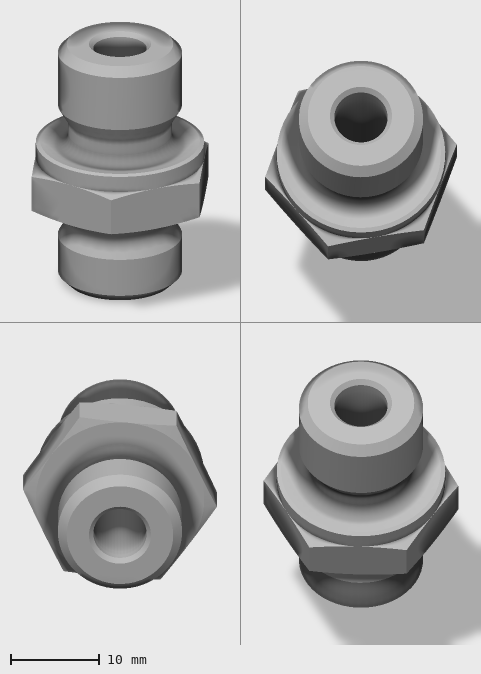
import cadquery as cq
import math

length = 29.0
thread_radius = 14.0 / 2
neck_radius = 11.7 / 2
thread_chamfer = 1.0
runout_angle = math.radians(30)
lower_thread_top = 5.45
upper_thread_bottom = 21.55
lower_neck_fillet = 1.0
upper_neck_fillet = 1.2

across_flats = 19.0
hex_bottom = 10.03
hex_height = 5.0
hex_top = hex_bottom + hex_height
hex_chamfer_angle = math.radians(15)

collar_radius = across_flats / 2
collar_top = 17.02
rim_radius = 18.0 / 2
rim_chamfer_height = 0.15
dish_angle = math.radians(10)

bore_radius = 6.0 / 2
bore_chamfer = 0.5


def arc_point(center, radius, angle):
    """Point on a circle in the (radius, height) half plane."""
    return (center[0] + radius * math.cos(angle), center[1] + radius * math.sin(angle))


def add_arc(profile, center, radius, start, end):
    """Line to the start of an arc, then follow the arc to its end."""
    profile = profile.lineTo(*arc_point(center, radius, start))
    middle = arc_point(center, radius, (start + end) / 2)
    return profile.threePointArc(middle, arc_point(center, radius, end))


def runout_center_offset(fillet):
    """Height from the thread edge to the center of the fillet joining cone and neck."""
    radial_run = thread_radius - neck_radius - fillet * (1 - math.cos(runout_angle))
    return radial_run / math.tan(runout_angle) + fillet * math.sin(runout_angle)


def turned_body():
    """Revolved stud ends, necks, core of the hexagon and dished collar."""
    chamfered_radius = thread_radius - thread_chamfer
    lower_axis = neck_radius + lower_neck_fillet
    upper_axis = neck_radius + upper_neck_fillet
    lower_runout_z = lower_thread_top + runout_center_offset(lower_neck_fillet)
    upper_runout_z = upper_thread_bottom - runout_center_offset(upper_neck_fillet)

    dish_fillet_end = arc_point((upper_axis, 0), upper_neck_fillet, dish_angle - math.pi / 2)
    dish_rise = (rim_radius - dish_fillet_end[0]) * math.tan(dish_angle)
    dish_center_z = collar_top - dish_rise - dish_fillet_end[1]

    profile = (
        cq.Workplane("XZ")
        .moveTo(0, 0)
        .lineTo(chamfered_radius, 0)
        .lineTo(thread_radius, thread_chamfer)
        .lineTo(thread_radius, lower_thread_top)
    )
    profile = add_arc(
        profile, (lower_axis, lower_runout_z), lower_neck_fillet, math.pi + runout_angle, math.pi
    )
    profile = add_arc(
        profile, (lower_axis, hex_bottom - lower_neck_fillet), lower_neck_fillet, math.pi, math.pi / 2
    )
    profile = (
        profile.lineTo(collar_radius, hex_bottom)
        .lineTo(collar_radius, collar_top - rim_chamfer_height)
        .lineTo(rim_radius, collar_top)
    )
    profile = add_arc(
        profile, (upper_axis, dish_center_z), upper_neck_fillet, 1.5 * math.pi + dish_angle, math.pi
    )
    profile = add_arc(
        profile, (upper_axis, upper_runout_z), upper_neck_fillet, math.pi, math.pi - runout_angle
    )
    return (
        profile.lineTo(thread_radius, upper_thread_bottom)
        .lineTo(thread_radius, length - thread_chamfer)
        .lineTo(chamfered_radius, length)
        .lineTo(0, length)
        .close()
        .revolve(360, (0, 0, 0), (0, 1, 0))
    )


def hexagon():
    """Hexagon with corners on the Y axis, chamfered conically at both ends."""
    across_corners = across_flats / math.cos(math.pi / 6)
    corner_radius = across_corners / 2
    corner_drop = (corner_radius - collar_radius) * math.tan(hex_chamfer_angle)
    prism = (
        cq.Workplane("XY")
        .workplane(offset=hex_bottom)
        .polygon(6, across_corners)
        .extrude(hex_height)
        .rotate((0, 0, 0), (0, 0, 1), 30)
    )
    envelope = (
        cq.Workplane("XZ")
        .moveTo(0, hex_bottom)
        .lineTo(collar_radius, hex_bottom)
        .lineTo(corner_radius, hex_bottom + corner_drop)
        .lineTo(corner_radius, hex_top - corner_drop)
        .lineTo(collar_radius, hex_top)
        .lineTo(0, hex_top)
        .close()
        .revolve(360, (0, 0, 0), (0, 1, 0))
    )
    return prism.intersect(envelope)


def bore():
    """Through bore, widened by a chamfer at each end."""
    mouth_radius = bore_radius + bore_chamfer
    return (
        cq.Workplane("XZ")
        .moveTo(0, 0)
        .lineTo(mouth_radius, 0)
        .lineTo(bore_radius, bore_chamfer)
        .lineTo(bore_radius, length - bore_chamfer)
        .lineTo(mouth_radius, length)
        .lineTo(0, length)
        .close()
        .revolve(360, (0, 0, 0), (0, 1, 0))
    )


result = turned_body().union(hexagon()).cut(bore())